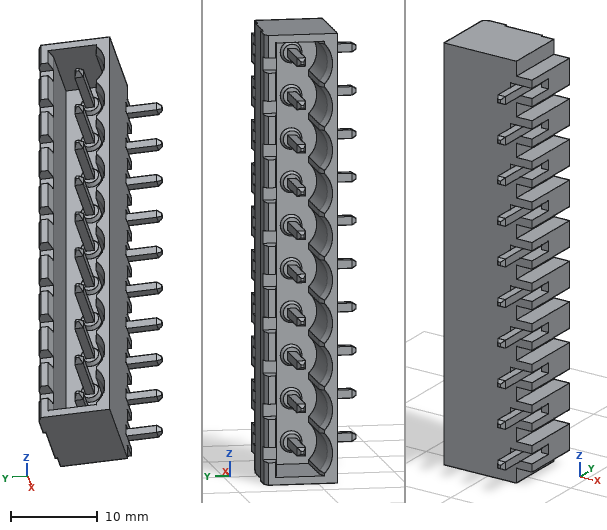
import cadquery as cq

length = 52.8
body_depth = 10.05
overall_depth = 12.2
overall_height = 12.5
rear_top = 7.9
wall_top = 8.2
lip_top = 8.5
lip_length = 3.05
lip_chamfer = 0.75
lip_chamfer_drop = 0.35
wall_length = 8.3

pin_count = 10
end_margin = 3.55
pitch = (length - 2 * end_margin) / (pin_count - 1)
pin_heights = [end_margin + i * pitch for i in range(pin_count)]

end_wall = 0.9
side_range = (end_wall, length - end_wall)
cavity_depth = 8.3
draft = 0.35
draft_depth = 1.35
cavity_top = 7.3
cavity_bottom = 1.55
scallop_radius = 3.4

notch_mouth = 1.8
notch_width = 1.55
notch_depth = draft_depth

pin_size = 1.0
contact_tip_size = 0.3
contact_taper = 0.85
leg_tip_size = 0.4
leg_taper = 0.55
pin_axis_y = 3.95
pin_start = 0.8
pin_leg_x = 10.3
pin_leg_end = lip_top - overall_height

collar_radius = 1.25
collar_top_radius = 1.0
collar_height = 0.55

tab_width = 3.3
slot_width = 1.25
slot_start = 9.2
slot_end = 11.25
slot_open_height = pin_axis_y - pin_size / 2


def box(x_range, y_range, z_range):
    """Axis-aligned box between the given limits."""
    size = [high - low for low, high in (x_range, y_range, z_range)]
    corner = (x_range[0], y_range[0], z_range[0])
    return cq.Workplane("XY").box(*size, centered=False).translate(corner)


def band(center, width):
    """Lower and upper limit of a band around a centre."""
    return (center - width / 2, center + width / 2)


def housing():
    """Stepped profile along the full length, with a tab behind each pin."""
    profile = [
        (0, 0),
        (body_depth, 0),
        (body_depth, rear_top),
        (wall_length, rear_top),
        (wall_length, wall_top),
        (lip_length, wall_top),
        (lip_length, lip_top),
        (lip_chamfer, lip_top),
        (0, lip_top - lip_chamfer_drop),
    ]
    body = cq.Workplane("XY").polyline(profile).close().extrude(length)
    for z in pin_heights:
        body = body.union(box((wall_length, overall_depth), (0, rear_top), band(z, tab_width)))
    return body


def scallops(radius, depth, shrink=0.0):
    """Half-round hollows under the pins, optionally narrowing by shrink over the depth."""
    lower_half = box((0, depth), (0, pin_axis_y), side_range)
    hollows = cq.Workplane("XY")
    for z in pin_heights:
        mouth = cq.Workplane("YZ").center(pin_axis_y, z).circle(radius)
        if shrink:
            hollow = mouth.workplane(offset=depth).circle(radius - shrink).loft()
        else:
            hollow = mouth.extrude(depth)
        hollows = hollows.union(hollow.intersect(lower_half))
    return hollows


def cavity():
    """Mating cavity: a straight pocket with a mouth that narrows inward."""
    bottom = cavity_bottom + draft
    top = cavity_top - draft
    pocket = box((0, cavity_depth), (bottom, top), side_range)
    mouth_profile = [
        (0, cavity_bottom),
        (draft_depth, bottom),
        (draft_depth, top),
        (0, cavity_top),
    ]
    mouth = (
        cq.Workplane("XY", origin=(0, 0, end_wall))
        .polyline(mouth_profile)
        .close()
        .extrude(length - 2 * end_wall)
    )
    straight = pocket.union(scallops(scallop_radius - draft, cavity_depth))
    return straight.union(mouth).union(scallops(scallop_radius, draft_depth, draft))


def key_notch(z):
    """Cut through the lip at the mating edge, flared towards its mouth."""
    profile = [
        (0, z - notch_mouth / 2),
        (notch_depth, z - notch_width / 2),
        (notch_depth, z + notch_width / 2),
        (0, z + notch_mouth / 2),
    ]
    bottom = cavity_top - draft
    sketch = cq.Workplane("XZ", origin=(0, bottom, 0))
    return sketch.polyline(profile).close().extrude(bottom - lip_top)


def contact_slot(z):
    """Slot in a tab: open at the back near the board side, then a narrower through slot."""
    z_range = band(z, slot_width)
    opening = box((slot_start, overall_depth), (0, slot_open_height), z_range)
    return opening.union(box((pin_leg_x - pin_size / 2, slot_end), (0, rear_top), z_range))


def collar(z):
    """Conical collar around a pin on the cavity floor."""
    base = cq.Workplane("YZ", origin=(cavity_depth, pin_axis_y, z)).circle(collar_radius)
    return base.workplane(offset=-collar_height).circle(collar_top_radius).loft()


def tapered_bar(bar_length, taper, tip_size):
    """Square bar from the origin along +Z, ending in a tapered tip."""
    shaft = cq.Workplane("XY").rect(pin_size, pin_size).extrude(bar_length - taper)
    tip = (
        shaft.faces(">Z")
        .workplane()
        .rect(pin_size, pin_size)
        .workplane(offset=taper)
        .rect(tip_size, tip_size)
        .loft(combine=False)
    )
    return shaft.union(tip)


def pin(z):
    """Angled pin: one leg along -X into the cavity, the other down along -Y."""
    elbow = (pin_leg_x, pin_axis_y, z)
    half = pin_size / 2
    contact = tapered_bar(pin_leg_x - pin_start, contact_taper, contact_tip_size)
    contact = contact.rotate((0, 0, 0), (0, 1, 0), -90)
    leg = tapered_bar(pin_axis_y - pin_leg_end, leg_taper, leg_tip_size)
    leg = leg.rotate((0, 0, 0), (1, 0, 0), 90)
    corner = box((-half, half), (-half, half), (-half, half))
    return contact.union(leg).union(corner).translate(elbow)


result = housing().cut(cavity())
for height in pin_heights:
    result = result.cut(key_notch(height)).cut(contact_slot(height))
for height in pin_heights:
    result = result.union(collar(height)).union(pin(height))